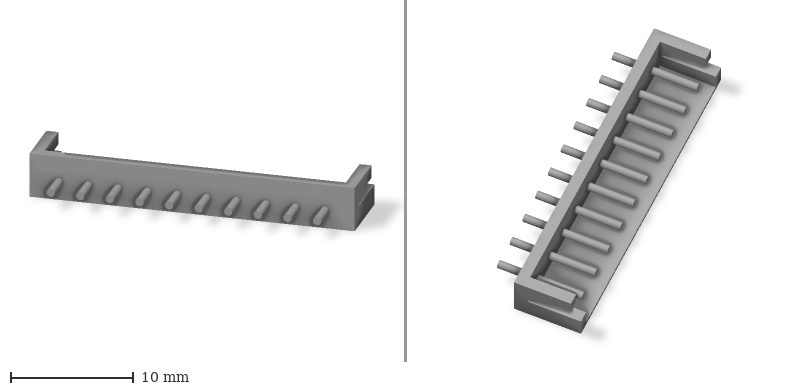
import cadquery as cq

housing_length = 27.5
housing_depth = 6.0
housing_height = 3.8
front_wall = 1.0
end_wall = 1.02
floor_thickness = 0.3

sill_height = 1.75
arm_setback = 0.9
notch_mouth_height = 0.94
notch_taper_start = 2.05
notch_length = 4.8
notch_tip_height = 0.16

pin_count = 10
pin_pitch = 2.5
pin_diameter = 0.7
pin_height = 1.6
pin_projection = 2.5


def make_housing():
    """Tray with a front wall and two end walls, its outer front face on Y = 0."""
    block = cq.Workplane("XY").box(
        housing_length, housing_depth, housing_height, centered=(True, False, False)
    )
    pocket = (
        cq.Workplane("XY")
        .box(
            housing_length - 2 * end_wall,
            housing_depth - front_wall,
            housing_height - floor_thickness,
            centered=(True, False, False),
        )
        .translate((0, front_wall, floor_thickness))
    )
    return block.cut(pocket)


def make_end_notch():
    """Notch above the sill, with the arm over it set back from the rear face."""
    rear = housing_depth
    mouth_top = sill_height + notch_mouth_height
    return (
        cq.Workplane("YZ")
        .moveTo(rear, sill_height)
        .lineTo(rear, housing_height)
        .lineTo(rear - arm_setback, housing_height)
        .lineTo(rear - arm_setback, mouth_top)
        .lineTo(rear - notch_taper_start, mouth_top)
        .lineTo(rear - notch_length, sill_height + notch_tip_height)
        .lineTo(rear - notch_length, sill_height)
        .close()
        .extrude(housing_length / 2, both=True)
    )


def make_pins():
    """Pins through the front wall, ending level with the end-wall arms."""
    pin_length = pin_projection + housing_depth - arm_setback
    first_x = -pin_pitch * (pin_count - 1) / 2
    positions = [(first_x + i * pin_pitch, pin_height) for i in range(pin_count)]
    return (
        cq.Workplane("XZ", origin=(0, -pin_projection, 0))
        .pushPoints(positions)
        .circle(pin_diameter / 2)
        .extrude(-pin_length)
    )


result = make_housing().cut(make_end_notch()).union(make_pins())